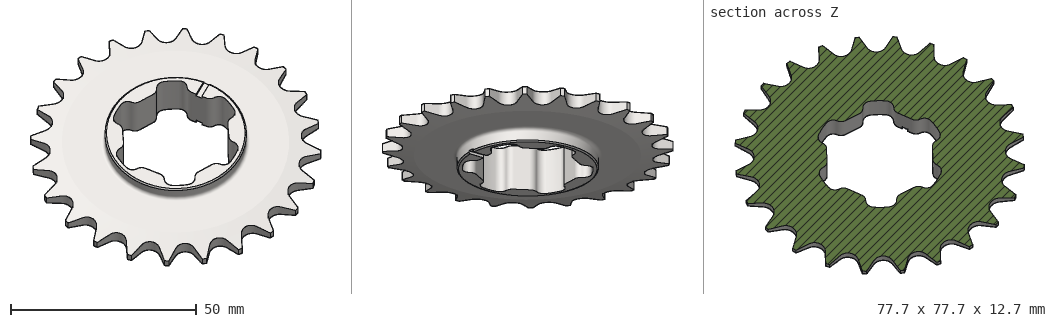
import cadquery as cq
import math

tooth_count = 24
outer_diameter = 78.27
seat_centre_radius = 36.74
roller_seat_radius = 2.85
gap_flank_angle = 30.0
tooth_pitch_angle = 360.0 / tooth_count
outer_radius = outer_diameter / 2

plate_thickness = 4.85
flat_face_radius = 30.6
tip_thickness = 2.25

hub_length = 12.7
hub_radius = 19.05
hub_edge_chamfer = 0.4
hub_base_fillet = 1.0

spline_count = 6
spline_root_radius = 17.6
spline_half_width = 4.1
land_apothem = 14.2

groove_width = 1.7
groove_depth = 0.8


def make_blank():
    """Toothless body: plate and both hubs turned in one profile."""
    half_hub = hub_length / 2
    half_plate = plate_thickness / 2
    half_tip = tip_thickness / 2
    chamfer_radius = hub_radius - hub_edge_chamfer
    chamfer_height = half_hub - hub_edge_chamfer
    fillet_top = half_plate + hub_base_fillet
    fillet_foot = hub_radius + hub_base_fillet
    upper_half = (
        cq.Workplane("XZ")
        .lineTo(0, half_hub)
        .lineTo(chamfer_radius, half_hub)
        .lineTo(hub_radius, chamfer_height)
        .lineTo(hub_radius, fillet_top)
        .radiusArc((fillet_foot, half_plate), -hub_base_fillet)
        .lineTo(flat_face_radius, half_plate)
        .lineTo(outer_radius, half_tip)
        .lineTo(outer_radius, 0)
        .close()
        .revolve(360, (0, 0, 0), (0, 1, 0))
    )
    return upper_half.union(upper_half.mirror("XY"))


def make_tooth_gap():
    """Space between two teeth on +X: a round roller seat with straight flanks tangent to it."""
    flank = math.radians(gap_flank_angle)
    tangent_x = seat_centre_radius - roller_seat_radius * math.sin(flank)
    tangent_y = roller_seat_radius * math.cos(flank)
    mouth_x = outer_radius + 1.0
    mouth_y = tangent_y + (mouth_x - tangent_x) * math.tan(flank)
    return (
        cq.Workplane("XY")
        .moveTo(mouth_x, mouth_y)
        .lineTo(tangent_x, tangent_y)
        .threePointArc((seat_centre_radius - roller_seat_radius, 0), (tangent_x, -tangent_y))
        .lineTo(mouth_x, -mouth_y)
        .close()
        .extrude(plate_thickness, both=True)
    )


def polar(radius, angle):
    """Point at a radius and an angle in radians, about the part axis."""
    return (radius * math.cos(angle), radius * math.sin(angle))


def make_splined_bore():
    """Through-bore with flat lands and round-bottomed splines, the first spline on +X.

    Each spline side is two equal arcs, one rounding the root corner and one the land corner.
    They meet tangentially on the line y = spline_half_width.
    """
    spacing = 2 * math.pi / spline_count
    land_angle = spacing / 2
    corner_x = (land_apothem - spline_half_width * math.sin(land_angle)) / math.cos(land_angle)
    reach = math.tan((math.pi / 2 - land_angle) / 2)
    half_linear_term = corner_x * reach + spline_root_radius - spline_half_width
    constant_term = corner_x**2 + spline_half_width**2 - spline_root_radius**2
    discriminant = half_linear_term**2 - reach**2 * constant_term
    side_radius = (math.sqrt(discriminant) - half_linear_term) / reach**2
    meeting_x = corner_x + reach * side_radius

    root_angle = math.atan2(spline_half_width - side_radius, meeting_x)
    land_round_y = spline_half_width + side_radius
    land_half_width = meeting_x * math.sin(land_angle) - land_round_y * math.cos(land_angle)
    land_corner_radius = math.hypot(land_apothem, land_half_width)
    land_corner_angle = land_angle - math.atan2(land_half_width, land_apothem)
    meeting_radius = math.hypot(meeting_x, spline_half_width)
    meeting_angle = math.atan2(spline_half_width, meeting_x)

    outline = cq.Workplane("XY").moveTo(*polar(land_corner_radius, -land_corner_angle))
    for index in range(spline_count):
        axis = index * spacing
        outline = (
            outline
            .radiusArc(polar(meeting_radius, axis - meeting_angle), side_radius)
            .radiusArc(polar(spline_root_radius, axis - root_angle), -side_radius)
            .radiusArc(polar(spline_root_radius, axis + root_angle), -spline_root_radius)
            .radiusArc(polar(meeting_radius, axis + meeting_angle), -side_radius)
            .radiusArc(polar(land_corner_radius, axis + land_corner_angle), side_radius)
            .lineTo(*polar(land_corner_radius, axis + spacing - land_corner_angle))
        )
    return outline.close().extrude(hub_length, both=True)


def make_index_groove():
    """Groove on the +Y side of the top hub face, from inside the bore out through the hub wall."""
    overrun = 1.0
    return (
        cq.Workplane("XY", origin=(0, 0, hub_length / 2 - groove_depth))
        .rect(groove_width, hub_radius + overrun, centered=(True, False))
        .extrude(groove_depth + overrun)
    )


result = make_blank()
tooth_gap = make_tooth_gap()
for index in range(tooth_count):
    result = result.cut(tooth_gap.rotate((0, 0, 0), (0, 0, 1), index * tooth_pitch_angle))
result = result.cut(make_splined_bore())
index_groove = make_index_groove()
result = result.cut(index_groove)
result = result.cut(index_groove.mirror("XY"))